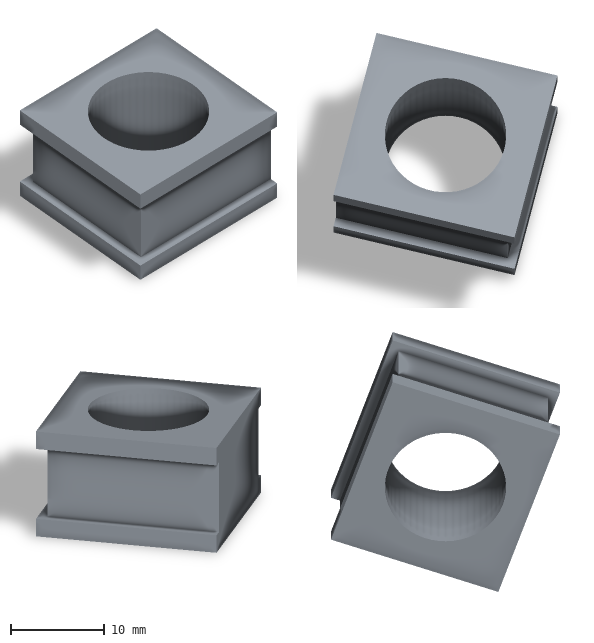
import cadquery as cq

width = 19.0
depth = 20.0
height = 12.0

flange_thickness = 2.0
step = 1.0

bore_diameter = 13.0

waist_width = width - 2 * step
waist_depth = depth - step
waist_height = height - 2 * flange_thickness


def make_flange(bottom):
    """Full-size rectangular plate with its underside at the given height."""
    return (
        cq.Workplane("XY")
        .workplane(offset=bottom)
        .rect(width, depth)
        .extrude(flange_thickness)
    )


def make_waist():
    """Narrower middle, set back on three sides and flush with the flanges at +Y."""
    return (
        cq.Workplane("XY")
        .workplane(offset=flange_thickness)
        .center(0, step / 2)
        .rect(waist_width, waist_depth)
        .extrude(waist_height)
    )


bore = cq.Workplane("XY").circle(bore_diameter / 2).extrude(height)

result = (
    make_flange(0)
    .union(make_waist())
    .union(make_flange(height - flange_thickness))
    .cut(bore)
)